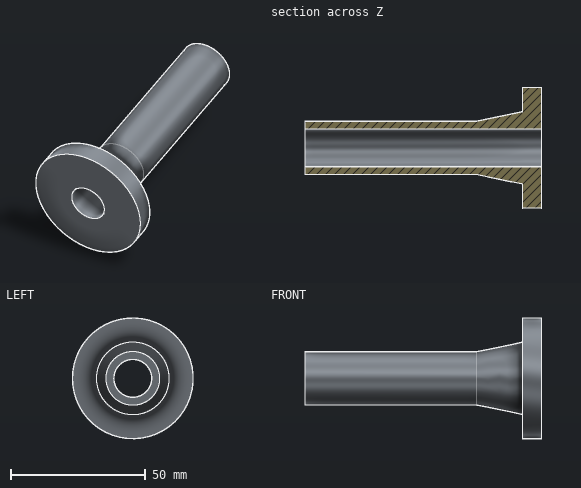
import cadquery as cq

total_length = 88.0
flange_thickness = 7.1
neck_length = 17.0
flange_diameter = 45.0
neck_diameter = 27.0
tube_diameter = 20.0
bore_diameter = 14.0

tube_end = -total_length / 2
flange_back = total_length / 2
flange_face = flange_back - flange_thickness
neck_start = flange_face - neck_length

half_section = (
    cq.Workplane("XY")
    .moveTo(tube_end, bore_diameter / 2)
    .lineTo(tube_end, tube_diameter / 2)
    .lineTo(neck_start, tube_diameter / 2)
    .lineTo(flange_face, neck_diameter / 2)
    .lineTo(flange_face, flange_diameter / 2)
    .lineTo(flange_back, flange_diameter / 2)
    .lineTo(flange_back, bore_diameter / 2)
    .close()
)

result = half_section.revolve(360, (0, 0, 0), (1, 0, 0))